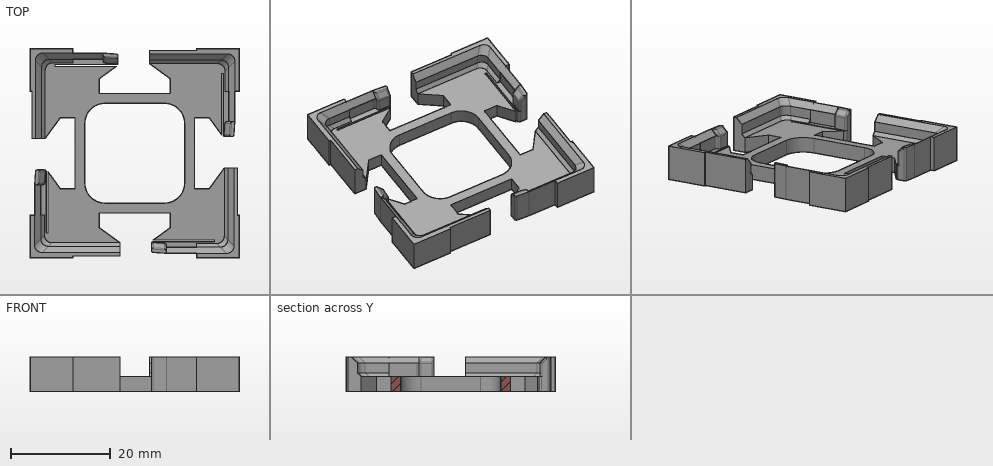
import cadquery as cq
import math


side = 42.0
half = side / 2
height = 7.0
floor_z = 3.05

pad_length = 8.55
rigid_face = 0.355
rigid_end = 18.05
spring_face = 0.9
spring_end = 17.7
tip_inset = 0.2
spring_tip_face = spring_face + tip_inset

lower_slope = 0.7
upper_slope = 1.25
wall_bottom_z = floor_z + lower_slope
wall_top_z = height - upper_slope
rigid_wall = 2.3
spring_wall = spring_face + upper_slope
seat_radius = 1.5
relief_step = 0.1
relief_wall = spring_wall - relief_step

slot_start = 5.0
slot_inner = 3.25
slot_width = 0.35
slot_outer = slot_inner + slot_width

notch_depth = 9.0
notch_half_width = 7.1
notch_flare_depth = 6.05
window_half = 10.0
window_radius = 4.0

hook_start = 14.65
hook_root_face = 2.9
hook_tip_face = 3.1
hook_chamfer = 1.18
edge_radius = 0.4


def quarter_outline():
    """Full-height plan of one quarter, with its window corner, notches and slot."""
    rigid_floor_edge = rigid_wall + lower_slope
    notch_wall = half - notch_half_width
    window_edge = half - window_half
    window_tangent = window_edge + window_radius
    arc_inset = window_radius * (1 - math.sqrt(0.5))
    flare_run = (rigid_end - notch_wall) / (notch_flare_depth - rigid_floor_edge)
    slot_mouth = notch_wall + (notch_flare_depth - slot_outer) * flare_run
    return (
        cq.Workplane("XY")
        .moveTo(0, 0)
        .lineTo(pad_length, 0)
        .lineTo(pad_length, rigid_face)
        .lineTo(rigid_end, rigid_face)
        .lineTo(rigid_end, rigid_floor_edge)
        .lineTo(notch_wall, notch_flare_depth)
        .lineTo(notch_wall, notch_depth)
        .lineTo(half, notch_depth)
        .lineTo(half, window_edge)
        .lineTo(window_tangent, window_edge)
        .threePointArc(
            (window_edge + arc_inset, window_edge + arc_inset),
            (window_edge, window_tangent),
        )
        .lineTo(window_edge, half)
        .lineTo(notch_depth, half)
        .lineTo(notch_depth, notch_wall)
        .lineTo(notch_flare_depth, notch_wall)
        .lineTo(slot_outer, slot_mouth)
        .lineTo(slot_outer, slot_start)
        .lineTo(slot_inner, slot_start)
        .lineTo(slot_inner, spring_end)
        .lineTo(spring_tip_face, spring_end)
        .lineTo(spring_face, hook_start)
        .lineTo(spring_face, pad_length)
        .lineTo(0, pad_length)
        .close()
    )


def seat_section(z, spread):
    """Seat outline at one height; spread moves its walls out from the upright wall."""
    left = spring_wall - spread
    front = rigid_wall - spread
    arc_inset = seat_radius * (1 - math.sqrt(0.5))
    outline = (
        cq.Workplane("XY", origin=(0, 0, z))
        .moveTo(half, front)
        .lineTo(half, half)
        .lineTo(left, half)
        .lineTo(left, front + seat_radius)
        .threePointArc(
            (left + arc_inset, front + arc_inset),
            (left + seat_radius, front),
        )
        .close()
    )
    return outline.val()


def seat():
    """Volume removed above the floor: three stacked bands sharing one corner radius."""
    levels = [
        (floor_z, -lower_slope),
        (wall_bottom_z, 0),
        (wall_top_z, 0),
        (height, upper_slope),
    ]
    sections = [seat_section(z, spread) for z, spread in levels]
    bands = [
        cq.Workplane(cq.Solid.makeLoft([low, high], True))
        for low, high in zip(sections, sections[1:])
    ]
    return bands[0].union(bands[1]).union(bands[2])


def spring_relief():
    """Removes the lower slope from the free part of the spring arm and thins its wall."""
    return cq.Workplane("XY").box(
        slot_inner - relief_wall,
        half - pad_length,
        wall_top_z - floor_z,
        centered=False,
    ).translate((relief_wall, pad_length, floor_z))


def vertical_edge_at(x, y):
    """Selector for the edge whose middle stands close to (x, y)."""
    reach = edge_radius / 2
    return cq.selectors.BoxSelector(
        (x - reach, y - reach, 0),
        (x + reach, y + reach, height),
    )


def hook():
    """Snap hook above the floor, with a sloped lead-in and rounded edges."""
    block = (
        cq.Workplane("XY", origin=(0, 0, floor_z))
        .moveTo(spring_face, hook_start)
        .lineTo(spring_tip_face, spring_end)
        .lineTo(hook_tip_face, spring_end)
        .lineTo(hook_root_face, hook_start)
        .close()
        .extrude(height - floor_z)
    )
    block = block.faces(">Z").edges(">X").chamfer(hook_chamfer)
    outer_tip = vertical_edge_at(spring_tip_face, spring_end)
    inner_tip = vertical_edge_at(hook_tip_face, spring_end)
    inner_root = vertical_edge_at(hook_root_face, hook_start)
    block = block.edges("|Z").edges(outer_tip + inner_tip + inner_root).fillet(edge_radius)
    lead_in_centre = (
        (hook_root_face + hook_tip_face - hook_chamfer) / 2,
        (hook_start + spring_end) / 2,
        height - hook_chamfer / 2,
    )
    lead_in = block.faces(cq.selectors.NearestToPointSelector(lead_in_centre))
    return lead_in.edges().fillet(edge_radius)


def root_fillet():
    """Concave round between the upright wall of the spring arm and the hook."""
    return (
        cq.Workplane("XY", origin=(0, 0, floor_z))
        .moveTo(relief_wall, hook_start)
        .lineTo(relief_wall, hook_start - edge_radius)
        .radiusArc((relief_wall + edge_radius, hook_start), edge_radius)
        .close()
        .extrude(wall_top_z - floor_z)
    )


quarter = quarter_outline().extrude(height)
for tip_x in (spring_tip_face, slot_inner):
    quarter = quarter.edges("|Z").edges(vertical_edge_at(tip_x, spring_end)).fillet(edge_radius)
quarter = quarter.cut(seat()).cut(spring_relief()).union(hook()).union(root_fillet())

quarter = quarter.translate((-half, -half, 0))
result = quarter
for turn in range(1, 4):
    result = result.union(quarter.rotate((0, 0, 0), (0, 0, 1), 90 * turn))